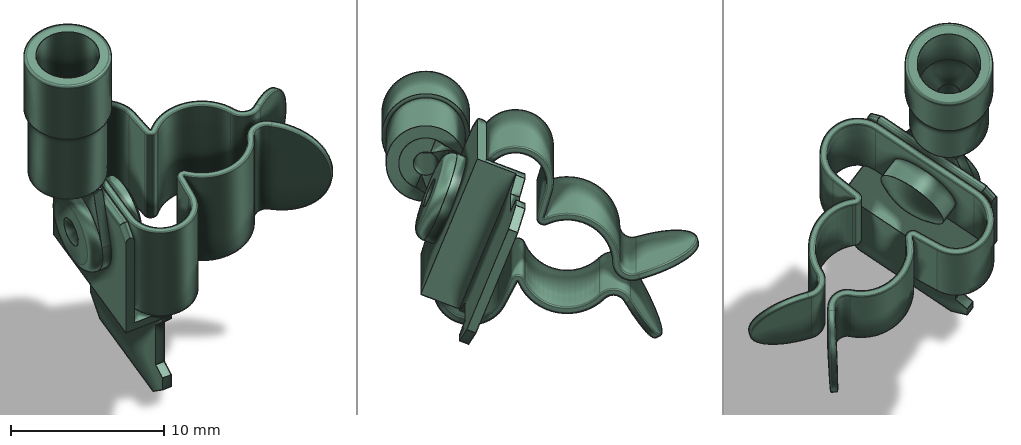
import cadquery as cq
import math


clip_thickness = 0.45
clip_height = 8.0
clip_edge_round = 0.1
lobe_radius = 2.45
clip_half_width = 6.393
strip_tilt = 5.2
knee_radius = 0.25
grip_center_y = 7.65
grip_radius = 3.2
grip_leg_angle = 44.0
throat_radius = 1.05
throat_gap = 0.77
flap_angle = 38.0
flap_length = 4.15

sheet = 0.65
bracket_half_width = 5.0
bracket_top_z = clip_height / 2
corner_chamfer = 0.77
bracket_edge_round = 0.49 * sheet
shelf_bottom_z = -5.65
tab_back_y = 2.7
waist_half_width = 4.05
waist_top_z = -7.18
shoulder_z = -5.95
waist_bottom_z = -10.95
foot_top_z = -11.3
foot_chamfer_z = -12.45
foot_half_width = 3.7
foot_bottom_z = -13.8

rivet_head_radius = 3.02
rivet_head_height = 0.75
rivet_dimple_radius = 1.0
rivet_dimple_depth = 0.6
shank_radius = 1.5
rivet_tail_radius = 2.5
rivet_tail_edge_y = 1.88
rivet_tail_top_y = 2.55

ring_radius = rivet_head_radius
barrel_radius = 1.75
barrel_bore_radius = 0.8
barrel_axis_y = -2.28
neck_bottom_z = 4.95
barrel_top_z = 10.75

sleeve_bottom_z = 6.0
sleeve_step_z = 12.02
sleeve_top_z = 17.0
sleeve_lower_radius = 2.6
sleeve_upper_radius = 2.85
sleeve_mouth_radius = 2.05
sleeve_rim_round = 0.2

bracket_front_y = -sheet
tongue_front_y = bracket_front_y - sheet


def polar(center, radius, degrees):
    """Point on a circle in the XY plane."""
    angle = math.radians(degrees)
    return (center[0] + radius * math.cos(angle), center[1] + radius * math.sin(angle))


def heading(degrees_from_y):
    """Unit direction in the XY plane that leans from +Y toward +X."""
    angle = math.radians(degrees_from_y)
    return (math.sin(angle), math.cos(angle))


def move(point, direction, distance):
    return (point[0] + direction[0] * distance, point[1] + direction[1] * distance)


def rivet_hole(radius):
    """Bore on the rivet axis, long enough for every part it passes through."""
    return cq.Workplane("XZ").circle(radius).extrude(2 * rivet_head_radius, both=True)


half_sheet = clip_thickness / 2
lobe_center = (clip_half_width - lobe_radius, lobe_radius)
lobe_middle_radius = lobe_radius - half_sheet
grip_center = (0, grip_center_y)
throat_x = throat_gap / 2 + half_sheet + throat_radius
throat_rise = math.sqrt((grip_radius + throat_radius) ** 2 - throat_x**2)
throat_center = (throat_x, grip_center_y + throat_rise)
grip_end_angle = math.degrees(math.atan2(throat_rise, throat_x))
flap_start = polar(throat_center, throat_radius, 180 - flap_angle)
flap_direction = heading(flap_angle)
flap_end = move(flap_start, flap_direction, flap_length)


def knee_points(strip_start, leg_end):
    """Start, middle and end of the arc that rounds the corner between strip and leg."""
    strip = heading(strip_tilt - 90)
    leg = heading(grip_leg_angle)
    gap = (leg_end[0] - strip_start[0], leg_end[1] - strip_start[1])
    reach = (gap[0] * leg[1] - gap[1] * leg[0]) / (strip[0] * leg[1] - strip[1] * leg[0])
    corner = move(strip_start, strip, reach)
    half_angle = math.radians(90 - grip_leg_angle + strip_tilt) / 2
    setback = knee_radius / math.tan(half_angle)
    bisector = heading((90 + strip_tilt + grip_leg_angle) / 2)
    middle = move(corner, bisector, knee_radius / math.sin(half_angle) - knee_radius)
    return move(corner, strip, -setback), middle, move(corner, leg, setback)


def clip_middle_line():
    lobe_end = polar(lobe_center, lobe_middle_radius, 90 - strip_tilt)
    grip_start = polar(grip_center, grip_radius, -grip_leg_angle)
    knee_start, knee_middle, knee_end = knee_points(lobe_end, grip_start)
    return (
        cq.Workplane("XY")
        .moveTo(0, half_sheet)
        .lineTo(lobe_center[0], half_sheet)
        .threePointArc(polar(lobe_center, lobe_middle_radius, 0), lobe_end)
        .lineTo(*knee_start)
        .threePointArc(knee_middle, knee_end)
        .lineTo(*grip_start)
        .threePointArc(polar(grip_center, grip_radius, 0), polar(grip_center, grip_radius, grip_end_angle))
        .threePointArc(polar(throat_center, throat_radius, 180), flap_start)
        .lineTo(*flap_end)
    )


def flap_corner_waste():
    """Block around the end of the flap, less the half-round end that stays."""
    end_radius = clip_height / 2
    plane = cq.Plane(
        origin=(*move(flap_end, flap_direction, -end_radius), 0),
        xDir=(*flap_direction, 0),
        normal=(-flap_direction[1], flap_direction[0], 0),
    )
    block = (
        cq.Workplane(plane)
        .center(flap_length, 0)
        .rect(2 * flap_length, 2 * clip_height)
        .extrude(clip_thickness, both=True)
    )
    return block.cut(cq.Workplane(plane).circle(end_radius).extrude(clip_thickness, both=True))


def runs_along_sheet(edge):
    """False for the short edges that cross the thickness of a flap."""
    return edge.geomType() != "LINE" or not math.isclose(edge.Length(), clip_thickness, rel_tol=0.01)


def make_clip():
    side = (
        cq.Workplane("YZ", origin=(0, half_sheet, 0))
        .rect(clip_thickness, clip_height)
        .sweep(clip_middle_line())
        .cut(flap_corner_waste())
    )
    clip = side.union(side.mirror("YZ"))
    clip = clip.edges("not |Z").filter(runs_along_sheet).fillet(clip_edge_round)
    return clip.cut(rivet_hole(shank_radius))


def make_bracket():
    side_profile = [
        (0, bracket_top_z),
        (0, shelf_bottom_z + sheet),
        (tab_back_y, shelf_bottom_z + sheet),
        (tab_back_y, foot_bottom_z),
        (tab_back_y - sheet, foot_bottom_z),
        (tab_back_y - sheet, shelf_bottom_z),
        (bracket_front_y, shelf_bottom_z),
        (bracket_front_y, bracket_top_z),
    ]
    right_outline = [
        (bracket_half_width - corner_chamfer, bracket_top_z),
        (bracket_half_width, bracket_top_z - corner_chamfer),
        (bracket_half_width, shoulder_z),
        (waist_half_width, waist_top_z),
        (waist_half_width, waist_bottom_z),
        (bracket_half_width, foot_top_z),
        (bracket_half_width, foot_chamfer_z),
        (foot_half_width, foot_bottom_z),
    ]
    left_outline = [(-x, z) for x, z in reversed(right_outline)]
    folded = cq.Workplane("YZ").polyline(side_profile).close().extrude(bracket_half_width, both=True)
    outline = (
        cq.Workplane("XZ").polyline(right_outline + left_outline).close().extrude(2 * tab_back_y, both=True)
    )
    plate_top_zone = cq.selectors.BoxSelector(
        (-bracket_half_width, bracket_front_y - sheet, bracket_top_z - corner_chamfer),
        (bracket_half_width, sheet, bracket_top_z + sheet),
    )
    bracket = folded.intersect(outline)
    bracket = bracket.edges(plate_top_zone).edges("not |Y").fillet(bracket_edge_round)
    return bracket.cut(rivet_hole(shank_radius))


def make_rivet():
    head_top_y = tongue_front_y - rivet_head_height
    head_flat_radius = rivet_head_radius - rivet_head_height
    rim_diagonal = rivet_head_height * math.sqrt(0.5)
    rim_middle = (head_flat_radius + rim_diagonal, tongue_front_y - rim_diagonal)
    dome_rise = rivet_tail_top_y - rivet_tail_edge_y
    dome_radius = (rivet_tail_radius**2 + dome_rise**2) / (2 * dome_rise)
    dome_middle_x = rivet_tail_radius / 2
    dome_middle_y = rivet_tail_top_y - dome_radius + math.sqrt(dome_radius**2 - dome_middle_x**2)
    return (
        cq.Workplane("XY")
        .moveTo(0, head_top_y + rivet_dimple_depth)
        .lineTo(rivet_dimple_radius, head_top_y)
        .lineTo(head_flat_radius, head_top_y)
        .threePointArc(rim_middle, (rivet_head_radius, tongue_front_y))
        .lineTo(shank_radius, tongue_front_y)
        .lineTo(shank_radius, clip_thickness)
        .lineTo(rivet_tail_radius, clip_thickness)
        .lineTo(rivet_tail_radius, rivet_tail_edge_y)
        .threePointArc((dome_middle_x, dome_middle_y), (0, rivet_tail_top_y))
        .close()
        .revolve(360, (0, 0), (0, 1))
    )


def make_tongue():
    """Flat ring around the rivet, tapering tangentially to the neck."""
    reach = math.hypot(barrel_radius, neck_bottom_z)
    tangent_angle = math.atan2(neck_bottom_z, barrel_radius) - math.acos(ring_radius / reach)
    tangent_x = ring_radius * math.cos(tangent_angle)
    tangent_z = ring_radius * math.sin(tangent_angle)
    return (
        cq.Workplane("XZ", origin=(0, bracket_front_y, 0))
        .moveTo(barrel_radius, neck_bottom_z)
        .lineTo(tangent_x, tangent_z)
        .threePointArc((0, -ring_radius), (-tangent_x, tangent_z))
        .lineTo(-barrel_radius, neck_bottom_z)
        .close()
        .extrude(sheet)
        .cut(rivet_hole(shank_radius))
    )


def make_neck():
    """Sheet that curls from the flat tongue into the back half of the barrel."""
    flat_end = (
        cq.Workplane("XY", origin=(0, 0, neck_bottom_z))
        .moveTo(barrel_radius, bracket_front_y)
        .lineTo(0, bracket_front_y)
        .lineTo(0, tongue_front_y)
        .lineTo(barrel_radius, tongue_front_y)
        .close()
    )
    curled_end = (
        cq.Workplane("XY", origin=(0, barrel_axis_y, sleeve_bottom_z))
        .moveTo(barrel_radius, 0)
        .threePointArc(polar((0, 0), barrel_radius, 45), (0, barrel_radius))
        .lineTo(0, barrel_bore_radius)
        .threePointArc(polar((0, 0), barrel_bore_radius, 45), (barrel_bore_radius, 0))
        .close()
    )
    side = cq.Workplane(cq.Solid.makeLoft([flat_end.val(), curled_end.val()], True))
    return side.union(side.mirror("YZ"))


def make_terminal():
    barrel = (
        cq.Workplane("XY", origin=(0, barrel_axis_y, sleeve_bottom_z))
        .circle(barrel_radius)
        .circle(barrel_bore_radius)
        .extrude(barrel_top_z - sleeve_bottom_z)
    )
    return make_tongue().union(make_neck()).union(barrel)


def make_sleeve():
    profile = [
        (barrel_radius, sleeve_bottom_z),
        (sleeve_lower_radius, sleeve_bottom_z),
        (sleeve_lower_radius, sleeve_step_z),
        (sleeve_upper_radius, sleeve_step_z),
        (sleeve_upper_radius, sleeve_top_z),
        (sleeve_mouth_radius, sleeve_top_z),
        (sleeve_mouth_radius, sleeve_step_z),
        (barrel_bore_radius, barrel_top_z),
        (barrel_radius, barrel_top_z),
    ]
    sleeve = cq.Workplane("XZ").polyline(profile).close().revolve(360, (0, 0), (0, 1))
    sleeve = sleeve.faces(">Z").edges(cq.selectors.RadiusNthSelector(1)).fillet(sleeve_rim_round)
    return sleeve.translate((0, barrel_axis_y, 0))


clip = make_clip()
bracket = make_bracket()
rivet = make_rivet()
terminal = make_terminal()
sleeve = make_sleeve()

result = cq.Compound.makeCompound(
    [clip.val(), bracket.val(), rivet.val(), terminal.val(), sleeve.val()]
)